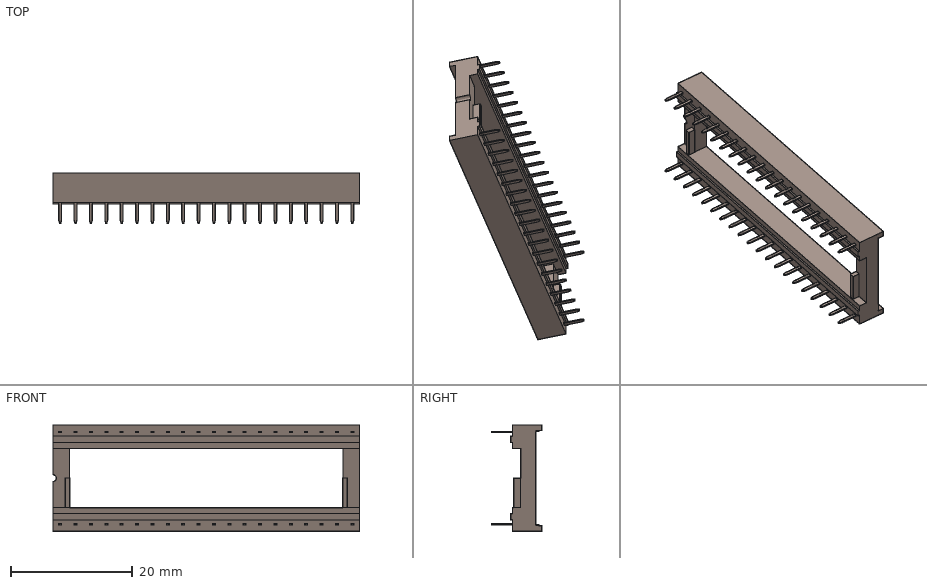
import cadquery as cq


LENGTH = 50.7
HEIGHT = 17.6
DEPTH = 4.85
WINDOW_LENGTH = 45.15
WINDOW_HEIGHT = 9.75
END_BAR_SETBACK = 1.35

LIP_DEPTH = 1.0
LIP_HEIGHT = 0.95
LEDGE_DEPTH = 0.5
LEDGE_HEIGHT = 0.15

STRIP_HEIGHT = 1.05
STRIP_PROUD = 0.3
STRIP_OFFSET = 1.9

NOTCH_RADIUS = 0.55
TAB_WIDTH = 0.8
TAB_OFFSET = 2.05
TAB_PROUD = 1.2
TAB_CHAMFER = 0.1

PINS_PER_ROW = 20
ROW_LENGTH = 48.25
ROW_SPACING = 15.25
PIN_WIDTH = 0.5
PIN_THICKNESS = 0.2
PIN_LENGTH = 3.45
PIN_EMBED = 0.5
TIP_LENGTH = 0.5
TIP_WIDTH = 0.2
PIN_PITCH = ROW_LENGTH / (PINS_PER_ROW - 1)

Y_BACK = -LIP_DEPTH
Y_RAIL = -DEPTH
Y_BAR = Y_RAIL + END_BAR_SETBACK
X_END = LENGTH / 2
X_WINDOW = WINDOW_LENGTH / 2
Z_OUTER = HEIGHT / 2
Z_INNER = WINDOW_HEIGHT / 2
SIDES = (-1, 1)


def block(x_range, y_range, z_range):
    """Axis-aligned box between pairs of limits, given in either order."""
    limits = (x_range, y_range, z_range)
    sizes = [abs(b - a) for a, b in limits]
    middles = [(a + b) / 2 for a, b in limits]
    return cq.Workplane("XY").box(*sizes).translate(tuple(middles))


def rail(side):
    """Upper (side = 1) or lower (side = -1) rail with its lip, ledge and standoff strip."""
    z_outer = side * Z_OUTER
    z_lip = side * (Z_OUTER - LIP_HEIGHT)
    z_ledge = z_lip - side * LEDGE_HEIGHT
    z_strip = side * (Z_OUTER - STRIP_OFFSET)
    full = (-X_END, X_END)
    window = (-X_WINDOW, X_WINDOW)

    beam = block(full, (Y_BACK, Y_RAIL), (z_outer, side * Z_INNER))
    lip = block(full, (0, Y_BACK), (z_outer, z_lip))
    ledge = block(window, (Y_BACK + LEDGE_DEPTH, Y_BACK), (z_lip, z_ledge))
    strip = block(full, (Y_RAIL, Y_RAIL - STRIP_PROUD), (z_strip, z_strip - side * STRIP_HEIGHT))
    return beam.union(lip).union(ledge).union(strip)


def end_bar(side):
    """Bar joining the two rails at one end."""
    return block((side * X_END, side * X_WINDOW), (Y_BACK, Y_BAR), (-Z_INNER, Z_INNER))


def tab(side):
    """Tab in front of an end bar, up to mid height, slightly overhanging the window."""
    x_outer = side * (X_END - TAB_OFFSET)
    x_inner = x_outer - side * TAB_WIDTH
    body = block((x_outer, x_inner), (Y_BAR, Y_BAR - TAB_PROUD), (-Z_INNER, 0))
    return body.faces("<Y").edges("|Z").chamfer(TAB_CHAMFER)


def pin(x, z):
    """Flat pin pointing along -Y with a tapered tip."""
    y_tip = Y_RAIL - PIN_LENGTH
    y_taper = y_tip + TIP_LENGTH
    outline = [
        (-PIN_WIDTH / 2, Y_RAIL + PIN_EMBED),
        (-PIN_WIDTH / 2, y_taper),
        (-TIP_WIDTH / 2, y_tip),
        (TIP_WIDTH / 2, y_tip),
        (PIN_WIDTH / 2, y_taper),
        (PIN_WIDTH / 2, Y_RAIL + PIN_EMBED),
    ]
    flat = cq.Workplane("XY").polyline(outline).close().extrude(PIN_THICKNESS / 2, both=True)
    return flat.translate((x, 0, z))


def notch():
    """Half-round orientation groove across the left end."""
    cutter = cq.Workplane("XZ").center(-X_END, 0).circle(NOTCH_RADIUS)
    return cutter.extrude(DEPTH)


result = rail(1).union(rail(-1))
for side in SIDES:
    result = result.union(end_bar(side)).union(tab(side))
result = result.cut(notch())

for side in SIDES:
    for index in range(PINS_PER_ROW):
        x_pin = index * PIN_PITCH - ROW_LENGTH / 2
        result = result.union(pin(x_pin, side * ROW_SPACING / 2))